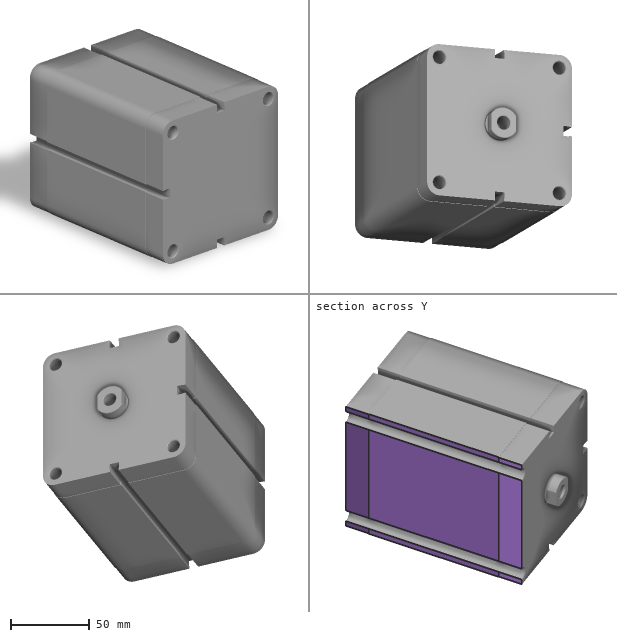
import cadquery as cq
import math


total_length = 134.5
rod_projection = 7.5
housing_length = total_length - rod_projection
front_cap_length = 16.7
rear_cap_length = 16.3
barrel_length = housing_length - front_cap_length - rear_cap_length
barrel_side = 100.0
barrel_corner_radius = 8.6
cap_inset = 0.3
cap_side = barrel_side - 2 * cap_inset
cap_corner_radius = barrel_corner_radius - cap_inset

slot_depth = 6.0
cap_lip_depth = 2.0
barrel_lip_depth = 2.4
slot_width = 6.6
cap_lip_gap = 6.0
barrel_lip_gap = 5.2
slot_angles = (0, 90, 180)

screw_offset = 41.2
screw_diameter = 8.5
screw_chamfer = 0.5

rod_diameter = 20.0
rod_chamfer = 0.4
flats_width = 17.0
flats_length = 6.5
thread_diameter = 8.9
thread_chamfer = 0.4
thread_depth = 17.5
drill_point_angle = 118.0
bore_chamfer = 0.4


def cylinder_x(diameter, start, length):
    """Cylinder on the rod axis, running from start towards +X."""
    return cq.Workplane("YZ", origin=(start, 0, 0)).circle(diameter / 2).extrude(length)


def cone_x(start_diameter, start, end_diameter, end):
    """Cone frustum on the rod axis; an end diameter of zero gives a point."""
    profile = cq.Workplane("XY").moveTo(start, 0).lineTo(start, start_diameter / 2)
    profile = profile.lineTo(end, end_diameter / 2)
    if end_diameter > 0:
        profile = profile.lineTo(end, 0)
    return profile.close().revolve(360, (0, 0, 0), (1, 0, 0))


def slot_cutter(start, length, lip_gap, lip_depth):
    """T-slot in the +Z side: a narrow mouth between lips over a wider channel."""
    floor = barrel_side / 2 - slot_depth
    channel_height = slot_depth - lip_depth
    middle = start + length / 2
    channel = cq.Workplane("XY", origin=(middle, 0, floor)).box(
        length, slot_width, channel_height, centered=(True, True, False)
    )
    mouth = cq.Workplane("XY", origin=(middle, 0, floor)).box(
        length, lip_gap, slot_depth, centered=(True, True, False)
    )
    return channel.union(mouth)


def housing_section(start, length, side, corner_radius, lip_gap, lip_depth):
    """Rounded square block with the sensor slots and the screw holes."""
    block = cq.Workplane("YZ", origin=(start, 0, 0)).rect(side, side).extrude(length)
    block = block.edges("|X").fillet(corner_radius)
    slot = slot_cutter(start, length, lip_gap, lip_depth)
    for angle in slot_angles:
        block = block.cut(slot.rotate((0, 0, 0), (1, 0, 0), angle))
    screw_holes = (
        cq.Workplane("YZ", origin=(start, 0, 0))
        .rect(2 * screw_offset, 2 * screw_offset, forConstruction=True)
        .vertices()
        .circle(screw_diameter / 2)
        .extrude(length)
    )
    return block.cut(screw_holes)


def chamfer_screw_holes(cap, face_selector):
    """Break the edges of the screw holes on the outer face of a cap."""
    holes = cap.faces(face_selector).edges("%CIRCLE").edges(cq.selectors.RadiusNthSelector(0))
    return holes.chamfer(screw_chamfer)


def make_front_cap():
    cap = housing_section(0, front_cap_length, cap_side, cap_corner_radius, cap_lip_gap, cap_lip_depth)
    cap = chamfer_screw_holes(cap, "<X")
    bore = cylinder_x(rod_diameter, 0, front_cap_length)
    bore_mouth = cone_x(rod_diameter + 2 * bore_chamfer, 0, rod_diameter, bore_chamfer)
    return cap.cut(bore).cut(bore_mouth)


def make_barrel():
    return housing_section(
        front_cap_length, barrel_length, barrel_side, barrel_corner_radius, barrel_lip_gap, barrel_lip_depth
    )


def make_rear_cap():
    start = housing_length - rear_cap_length
    cap = housing_section(start, rear_cap_length, cap_side, cap_corner_radius, cap_lip_gap, cap_lip_depth)
    return chamfer_screw_holes(cap, ">X")


def make_rod():
    tip = -rod_projection
    rod = cylinder_x(rod_diameter, tip, rod_projection + front_cap_length)
    rod = rod.faces("<X").chamfer(rod_chamfer)

    flats_envelope = cq.Workplane("YZ", origin=(tip, 0, 0)).rect(flats_width, rod_diameter)
    flats_envelope = flats_envelope.extrude(flats_length)
    flats_stock = cylinder_x(2 * rod_diameter, tip, flats_length)
    rod = rod.cut(flats_stock.cut(flats_envelope))

    point_length = thread_diameter / 2 / math.tan(math.radians(drill_point_angle / 2))
    bottom = tip + thread_depth
    hole = cylinder_x(thread_diameter, tip, thread_depth)
    drill_point = cone_x(thread_diameter, bottom, 0, bottom + point_length)
    mouth = cone_x(thread_diameter + 2 * thread_chamfer, tip, thread_diameter, tip + thread_chamfer)
    return rod.cut(hole).cut(drill_point).cut(mouth)


front_cap = make_front_cap()
barrel = make_barrel()
rear_cap = make_rear_cap()
rod = make_rod()

result = cq.Compound.makeCompound([front_cap.val(), barrel.val(), rear_cap.val(), rod.val()])